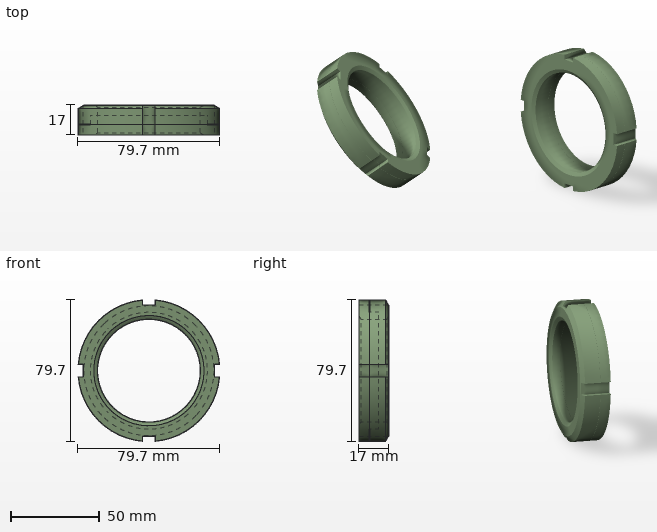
import cadquery as cq
import math

OUTER_DIAMETER = 80.0
THICKNESS = 17.0
BORE_DIAMETER = 57.85

BORE_CHAMFER_WIDTH = 2.15
RIM_CHAMFER_WIDTH = 3.35
CHAMFER_ANGLE = 30.0

SLOT_COUNT = 4
SLOT_WIDTH = 7.0
SLOT_FLOOR_RADIUS = 37.05

RIM_JOINT_Y = 6.0
BORE_JOINT_Y = 11.0
JOINT_GAP = 0.1

outer_radius = OUTER_DIAMETER / 2
bore_radius = BORE_DIAMETER / 2
hub_radius = (bore_radius + SLOT_FLOOR_RADIUS) / 2

chamfer_slope = math.tan(math.radians(CHAMFER_ANGLE))
bore_mouth_radius = bore_radius + BORE_CHAMFER_WIDTH
bore_chamfer_depth = BORE_CHAMFER_WIDTH * chamfer_slope
rim_face_radius = outer_radius - RIM_CHAMFER_WIDTH
rim_chamfer_depth = RIM_CHAMFER_WIDTH * chamfer_slope


def revolve_about_y(points):
    """Revolve a closed (radius, y) outline about the Y axis."""
    return cq.Workplane("XY").polyline(points).close().revolve(360, (0, 0, 0), (0, 1, 0))


def cut_slots(ring):
    """Cut the rectangular wrench slots through the whole thickness at the rim."""
    slot_height = outer_radius
    slot = cq.Workplane("XY").box(SLOT_WIDTH, THICKNESS, slot_height, centered=(True, False, False))
    slot = slot.translate((0, 0, SLOT_FLOOR_RADIUS))
    for i in range(SLOT_COUNT):
        ring = ring.cut(slot.rotate((0, 0, 0), (0, 1, 0), i * 360 / SLOT_COUNT))
    return ring


def make_front_ring():
    """Slotted flange with a chamfered bore mouth and a hub on its back."""
    outline = [
        (bore_mouth_radius, 0),
        (outer_radius, 0),
        (outer_radius, RIM_JOINT_Y),
        (hub_radius, RIM_JOINT_Y),
        (hub_radius, BORE_JOINT_Y),
        (bore_radius, BORE_JOINT_Y),
        (bore_radius, bore_chamfer_depth),
    ]
    return cut_slots(revolve_about_y(outline))


def make_rear_ring():
    """Slotted ring recessed for the hub, with a chamfered rim and bore at the back."""
    rim_start_y = RIM_JOINT_Y + JOINT_GAP
    bore_start_y = BORE_JOINT_Y + JOINT_GAP
    outline = [
        (hub_radius, rim_start_y),
        (outer_radius, rim_start_y),
        (outer_radius, THICKNESS - rim_chamfer_depth),
        (rim_face_radius, THICKNESS),
        (bore_mouth_radius, THICKNESS),
        (bore_radius, THICKNESS - bore_chamfer_depth),
        (bore_radius, bore_start_y),
        (hub_radius, bore_start_y),
    ]
    return cut_slots(revolve_about_y(outline))


front_ring = make_front_ring()
rear_ring = make_rear_ring()

result = cq.Compound.makeCompound([front_ring.val(), rear_ring.val()])